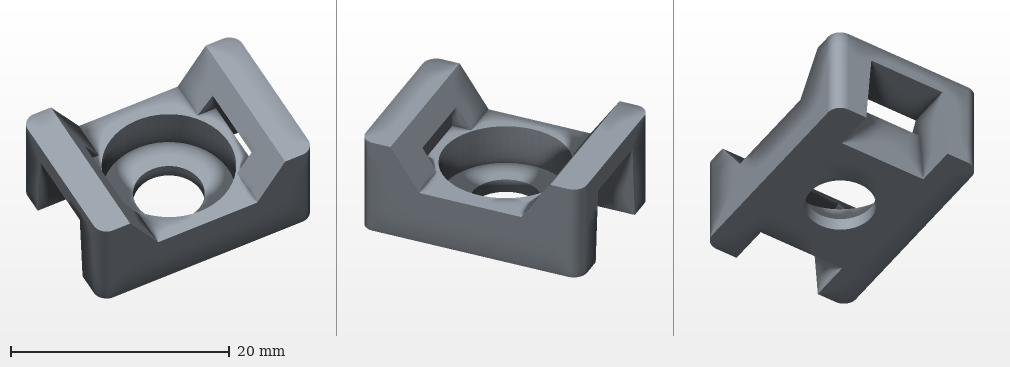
import cadquery as cq

width = 15.7
length = 22.15
height = 9.5
corner_radius = 1.33

saddle_floor = 5.27
saddle_half_floor = 5.1
saddle_half_top = 8.0

seat_offset = 0.18
bore_diameter = 6.55
seat_diameter = 12.32
seat_floor = 1.33

opening_height = 7.45
opening_offset = -0.1
opening_bottom_width = 8.86
opening_top_width = 7.75
pocket_depth = 4.08
straight_side = -3.9

bottom_left = opening_offset - opening_bottom_width / 2
bottom_right = opening_offset + opening_bottom_width / 2
top_left = opening_offset - opening_top_width / 2
top_right = opening_offset + opening_top_width / 2


def make_block():
    block = cq.Workplane("XY").box(width, length, height, centered=(True, True, False))
    return block.edges("|Z").fillet(corner_radius)


def make_saddle():
    """Trapezoid trough running across the full width."""
    outline = [
        (-saddle_half_floor, saddle_floor),
        (saddle_half_floor, saddle_floor),
        (saddle_half_top, height),
        (-saddle_half_top, height),
    ]
    return cq.Workplane("YZ").polyline(outline).close().extrude(width / 2, both=True)


def make_screw_seat():
    bore = cq.Workplane("XY").circle(bore_diameter / 2).extrude(saddle_floor)
    seat = cq.Workplane("XY").workplane(offset=seat_floor).circle(seat_diameter / 2)
    stepped_hole = bore.union(seat.extrude(saddle_floor - seat_floor))
    return stepped_hole.translate((seat_offset, 0, 0))


def make_strap_opening():
    """Opening of the -Y end wall: a deep outer pocket and a slot above the saddle floor."""
    pocket_outline = [
        (bottom_left, 0),
        (bottom_right, 0),
        (top_right, opening_height),
        (top_left, opening_height),
    ]
    outer_face = cq.Workplane("XZ", origin=(0, -length / 2, 0))
    pocket = outer_face.polyline(pocket_outline).close().extrude(-pocket_depth)

    side_slope = (bottom_right - top_right) / opening_height
    slot_floor_right = bottom_right - side_slope * saddle_floor
    slot_outline = [
        (straight_side, saddle_floor),
        (slot_floor_right, saddle_floor),
        (top_right, opening_height),
        (straight_side, opening_height),
    ]
    slot_start = cq.Workplane("XZ", origin=(0, pocket_depth - length / 2, 0))
    slot_length = length / 2 - pocket_depth - saddle_half_floor
    slot = slot_start.polyline(slot_outline).close().extrude(-slot_length)
    return pocket.union(slot)


result = make_block().cut(make_saddle()).cut(make_screw_seat())

strap_opening = make_strap_opening()
for turn in (0, 180):
    result = result.cut(strap_opening.rotate((0, 0, 0), (0, 0, 1), turn))